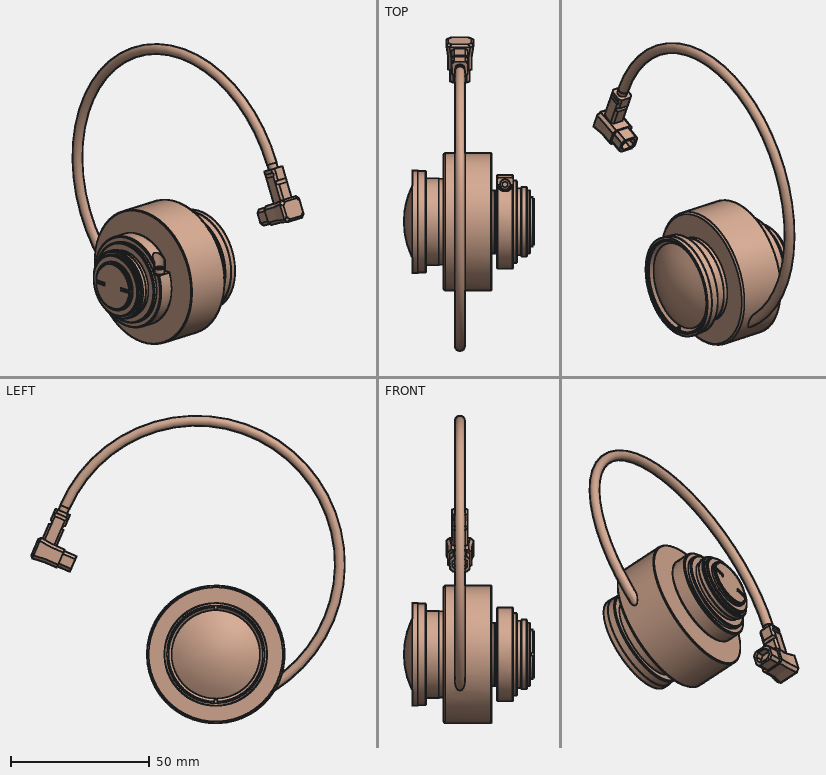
import cadquery as cq
import math

dome_radius = 29.2
dome_edge_radius = 16.0
seat_radius = 17.1
rim_bore_radius = 17.7
rim_radius = 18.65
rim_back_radius = 18.45
rim_front_x = 3.1
rim_step_depth = 0.5
rim_split_x = 5.1
rim_back_x = 8.2
rim_chamfer = 0.4

front_neck_radius = 15.8
front_neck_step_x = 12.7
front_neck_step = 0.15

body_radius = 25.0
body_front_x = 14.3
body_back_x = 31.8
body_front_chamfer = 0.7
body_back_chamfer = 0.3

rear_neck_radius = 11.5
rear_groove_x = 32.7
rear_groove_width = 0.6
rear_groove_depth = 0.3

clamp_radius = 17.05
clamp_front_x = 33.7
clamp_back_x = 39.7
clamp_chamfer = 0.4

flange_radius = 15.0
flange_back_x = 41.1
flange_chamfer = 0.4

thread_relief_radius = 12.2
thread_radius = 12.7
thread_front_x = 42.4
thread_back_x = 44.7
thread_chamfer = 0.4
pilot_radius = 11.5
pilot_back_x = 45.9
pilot_chamfer = 0.4
rear_ring_radius = 9.05
rear_ring_back_x = 46.7
rear_tip_radius = 8.4
barrel_back_x = 47.28

spanner_slot_width = 1.1
rear_slot_inner_radius = 4.2
rear_spanner_slot_depth = 1.1
front_spanner_slot_depth = 0.8

screw_y = 13.5
screw_seat_z = 6.0
screw_recess_diameter = 5.0
screw_head_diameter = 3.7
screw_head_height = 1.8
screw_socket_size = 1.9
screw_socket_depth = 1.0

cable_x = 20.35
cable_diameter = 3.7
cable_bend_radius = 51.95
cable_center_y = 7.0
cable_center_z = 32.67
cable_end_angle = 23.5
cable_start_angle = 242.0

ferrule_length = 1.9
ferrule_diameter = 3.5
collar_length = 1.3
stem_width = 5.75
stem_length = 12.6
stem_corner = 0.9
groove_width = 1.3
groove_depth = 0.3
notch_offset = 5.2
notch_radius = 0.75

head_back_offset = 4.22
back_chamfer_length = 0.8
head_back_length = 4.4
head_mid_length = 5.1
head_nose_length = 4.95
head_axis_drop = 17.75
back_section = (9.9, 8.2)
mid_section = (8.7, 7.2)
nose_section = (7.2, 6.2)
head_corner = 1.2
socket_section = (5.4, 4.4)
socket_depth = 3.0


def lens_barrel():
    """Half profile from the dome tip to the rear end, revolved about the X axis."""
    dome_edge_x = dome_radius - math.sqrt(dome_radius**2 - dome_edge_radius**2)
    dome_mid_angle = math.asin(dome_edge_radius / dome_radius) / 2
    dome_mid = (dome_radius * (1 - math.cos(dome_mid_angle)), dome_radius * math.sin(dome_mid_angle))
    seat_x = rim_front_x + rim_step_depth
    second_neck_radius = front_neck_radius - front_neck_step
    groove_radius = rear_neck_radius - rear_groove_depth
    groove_end_x = rear_groove_x + rear_groove_width
    profile = (
        cq.Workplane("XY")
        .moveTo(0, 0)
        .threePointArc(dome_mid, (dome_edge_x, dome_edge_radius))
        .lineTo(seat_x, seat_radius)
        .lineTo(seat_x, rim_bore_radius)
        .lineTo(rim_front_x, rim_bore_radius)
        .lineTo(rim_front_x, rim_radius)
        .lineTo(rim_split_x, rim_radius)
        .lineTo(rim_split_x, rim_back_radius)
        .lineTo(rim_back_x - rim_chamfer, rim_back_radius)
        .lineTo(rim_back_x, rim_back_radius - rim_chamfer)
        .lineTo(rim_back_x, front_neck_radius)
        .lineTo(front_neck_step_x, front_neck_radius)
        .lineTo(front_neck_step_x, second_neck_radius)
        .lineTo(body_front_x, second_neck_radius)
        .lineTo(body_front_x, body_radius - body_front_chamfer)
        .lineTo(body_front_x + body_front_chamfer, body_radius)
        .lineTo(body_back_x - body_back_chamfer, body_radius)
        .lineTo(body_back_x, body_radius - body_back_chamfer)
        .lineTo(body_back_x, rear_neck_radius)
        .lineTo(rear_groove_x, rear_neck_radius)
        .lineTo(rear_groove_x, groove_radius)
        .lineTo(groove_end_x, groove_radius)
        .lineTo(groove_end_x, rear_neck_radius)
        .lineTo(clamp_front_x, rear_neck_radius)
        .lineTo(clamp_front_x, clamp_radius - clamp_chamfer)
        .lineTo(clamp_front_x + clamp_chamfer, clamp_radius)
        .lineTo(clamp_back_x - clamp_chamfer, clamp_radius)
        .lineTo(clamp_back_x, clamp_radius - clamp_chamfer)
        .lineTo(clamp_back_x, flange_radius)
        .lineTo(flange_back_x - flange_chamfer, flange_radius)
        .lineTo(flange_back_x, flange_radius - flange_chamfer)
        .lineTo(flange_back_x, thread_relief_radius)
        .lineTo(thread_front_x, thread_relief_radius)
        .lineTo(thread_front_x + thread_chamfer, thread_radius)
        .lineTo(thread_back_x - thread_chamfer, thread_radius)
        .lineTo(thread_back_x, thread_radius - thread_chamfer)
        .lineTo(thread_back_x, pilot_radius)
        .lineTo(pilot_back_x - pilot_chamfer, pilot_radius)
        .lineTo(pilot_back_x, pilot_radius - pilot_chamfer)
        .lineTo(pilot_back_x, rear_ring_radius)
        .lineTo(rear_ring_back_x, rear_ring_radius)
        .lineTo(rear_ring_back_x, rear_tip_radius)
        .lineTo(barrel_back_x, rear_tip_radius)
        .lineTo(barrel_back_x, 0)
        .close()
    )
    return profile.revolve(360, (0, 0, 0), (1, 0, 0))


def spanner_slots():
    """Pairs of slots: above and below the front glass, and on both Y sides of the rear end."""
    slots = cq.Workplane("XY")
    front_slot_height = rim_bore_radius - dome_edge_radius
    front_slot_z = (rim_bore_radius + dome_edge_radius) / 2
    rear_slot_height = rear_ring_radius - rear_slot_inner_radius
    rear_slot_y = (rear_ring_radius + rear_slot_inner_radius) / 2
    rear_slot_x = barrel_back_x - rear_spanner_slot_depth / 2
    front_slot_x = rim_front_x + rim_step_depth + front_spanner_slot_depth / 2
    for side in (1, -1):
        front_slot = cq.Workplane("XY").box(front_spanner_slot_depth, spanner_slot_width, front_slot_height)
        rear_slot = cq.Workplane("XY").box(rear_spanner_slot_depth, rear_slot_height, spanner_slot_width)
        slots = slots.add(front_slot.translate((front_slot_x, 0, side * front_slot_z)))
        slots = slots.add(rear_slot.translate((rear_slot_x, side * rear_slot_y, 0)))
    return slots.combine()


def clamp_screw_recess():
    """Flat-bottomed recess around the screw, open towards +Y over the whole ring width."""
    seat = cq.Workplane("XY").workplane(offset=screw_seat_z)
    recess_height = clamp_radius - screw_seat_z
    ring_width = clamp_back_x - clamp_front_x
    ring_mid_x = (clamp_front_x + clamp_back_x) / 2
    open_length = clamp_radius - screw_y
    bore = seat.center(ring_mid_x, screw_y).circle(screw_recess_diameter / 2).extrude(recess_height)
    opening = (
        seat.center(ring_mid_x, screw_y + open_length / 2)
        .rect(ring_width, open_length)
        .extrude(recess_height)
    )
    return bore.union(opening)


def clamp_screw():
    ring_mid_x = (clamp_front_x + clamp_back_x) / 2
    return (
        cq.Workplane("XY", origin=(ring_mid_x, screw_y, screw_seat_z))
        .circle(screw_head_diameter / 2)
        .extrude(screw_head_height)
        .faces(">Z")
        .workplane()
        .polygon(6, screw_socket_size, circumscribed=True)
        .cutBlind(-screw_socket_depth)
    )


def cable_arc_point(angle):
    y = cable_center_y + cable_bend_radius * math.cos(math.radians(angle))
    z = cable_center_z + cable_bend_radius * math.sin(math.radians(angle))
    return y, z


def cable():
    sweep_angle = cable_start_angle - cable_end_angle
    end_y, end_z = cable_arc_point(cable_end_angle)
    end_plane = plug_plane(end_y, end_z)
    return (
        cq.Workplane(end_plane)
        .circle(cable_diameter / 2)
        .revolve(sweep_angle, (-cable_bend_radius, 0, 0), (-cable_bend_radius, 1, 0))
    )


def plug_plane(y, z):
    """Plane at the cable end: local Z runs down the plug stem, local Y is the part's X axis."""
    tilt = math.radians(cable_end_angle)
    stem_direction = (0, math.sin(tilt), -math.cos(tilt))
    outward = (0, math.cos(tilt), math.sin(tilt))
    return cq.Plane(origin=(cable_x, y, z), xDir=outward, normal=stem_direction)


def octagon(workplane, width, height, corner):
    """Rectangle with cut corners."""
    half_width = width / 2
    half_height = height / 2
    points = [
        (half_width - corner, half_height),
        (half_width, half_height - corner),
        (half_width, corner - half_height),
        (half_width - corner, -half_height),
        (corner - half_width, -half_height),
        (-half_width, corner - half_height),
        (-half_width, half_height - corner),
        (corner - half_width, half_height),
    ]
    return workplane.polyline(points).close()


def octagon_bar(workplane, width, height, corner, length):
    return octagon(workplane, width, height, corner).extrude(length)


def octagon_taper(workplane, start, end, length):
    start_outline = octagon(workplane, *start, head_corner)
    end_outline = octagon(start_outline.workplane(offset=length), *end, head_corner)
    return end_outline.loft(combine=True)


def plug_stem(plane):
    ferrule = cq.Workplane(plane).circle(ferrule_diameter / 2).extrude(ferrule_length)
    stem_plane = cq.Workplane(plane).workplane(offset=ferrule_length)
    stem = octagon_bar(stem_plane, stem_width, stem_width, stem_corner, stem_length)

    half_width = stem_width / 2
    groove_radius = (groove_width**2 / 4 + groove_depth**2) / (2 * groove_depth)
    groove_offset = half_width + groove_radius - groove_depth
    groove_z = ferrule_length + collar_length + groove_width / 2
    notch_z = ferrule_length + notch_offset
    for side in (1, -1):
        groove = (
            cq.Workplane(plane)
            .transformed(rotate=(0, 90, 0), offset=(0, side * groove_offset, groove_z))
            .circle(groove_radius)
            .extrude(half_width, both=True)
        )
        notch = (
            cq.Workplane(plane)
            .transformed(rotate=(90, 0, 0), offset=(side * half_width, 0, notch_z))
            .circle(notch_radius)
            .extrude(half_width, both=True)
        )
        stem = stem.cut(groove).cut(notch)
    return ferrule.union(stem)


def plug_head(plane):
    """Three-part head with its long axis across the stem, socket opening at the nose."""
    start = plane.toWorldCoords((head_back_offset, 0, head_axis_drop))
    length_direction = -plane.xDir
    head_plane = cq.Plane(origin=start, xDir=plane.yDir, normal=length_direction)
    mid_start = back_chamfer_length + head_back_length
    nose_start = mid_start + head_mid_length
    nose_end = nose_start + head_nose_length
    end_section = tuple(size - 2 * back_chamfer_length for size in back_section)

    def at(offset):
        return cq.Workplane(head_plane).workplane(offset=offset)

    head = octagon_taper(at(0), end_section, back_section, back_chamfer_length)
    head = head.union(octagon_taper(at(back_chamfer_length), back_section, mid_section, head_back_length))
    head = head.union(octagon_bar(at(mid_start), *mid_section, head_corner, head_mid_length))
    head = head.union(octagon_bar(at(nose_start), *nose_section, head_corner, head_nose_length))
    socket = octagon_bar(at(nose_end - socket_depth), *socket_section, head_corner, socket_depth)
    return head.cut(socket)


def plug():
    plane = plug_plane(*cable_arc_point(cable_end_angle))
    return plug_stem(plane).union(plug_head(plane))


lens = lens_barrel().cut(spanner_slots()).cut(clamp_screw_recess()).union(clamp_screw())
result = lens.union(cable()).union(plug())